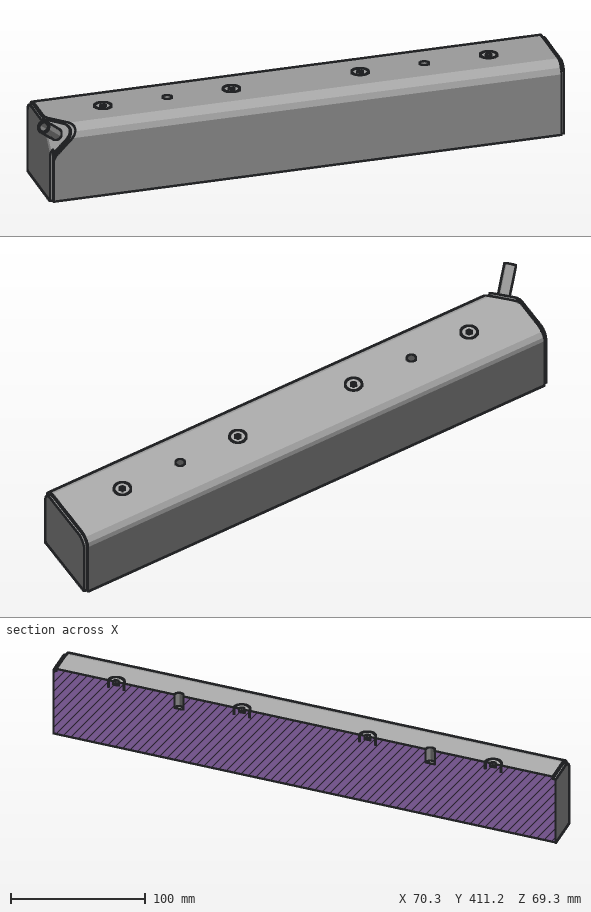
import cadquery as cq
import math

WIDTH = 60.0
HEIGHT = 59.0
LENGTH = 400.0
EDGE_RADIUS = 10.0
END_STEP = 2.5
END_INSET = 2.0

BEVEL_LEG = 21.5
BEVEL_RADIUS = 5.0
PLATE_THICKNESS = 2.5

TUBE_DIAMETER = 9.0
TUBE_BORE = 7.0
TUBE_REACH = 10.3
TUBE_Y_REACH = 11.19
TUBE_LENGTH = 30.0

SCREW_PITCH = 100.0
SCREW_COUNT = 4
SEAT_DIAMETER = 13.0
HEAD_DIAMETER = 12.0
HEAD_HEIGHT = 6.0
SOCKET_ACROSS_FLATS = 4.0
SOCKET_DEPTH = 3.0
PLAIN_HOLE_SPACING = 2 * SCREW_PITCH
PLAIN_HOLE_COUNT = 2
PLAIN_HOLE_DIAMETER = 7.0
PLAIN_HOLE_DEPTH = 12.0

CORNER = cq.Vector(WIDTH / 2, -LENGTH / 2, HEIGHT)
OUTWARD = cq.Vector(1, -1, 1).normalized()
ACROSS = cq.Vector(1, 1, 0)


def rounded_bar(inset, length):
    """Bar centred on Y whose sides and top lie `inset` inside the housing outline."""
    bar = cq.Workplane("XY").box(WIDTH - 2 * inset, length, HEIGHT - inset, centered=(True, True, False))
    return bar.edges("|Y and >Z").fillet(EDGE_RADIUS - inset)


def cut_corner(bar, depth):
    """Remove everything outside the bevel plane moved `depth` into the bar."""
    origin = CORNER - cq.Vector(BEVEL_LEG, 0, 0) - OUTWARD * depth
    plane = cq.Plane(origin=origin, xDir=ACROSS, normal=OUTWARD)
    waste_side = 4 * WIDTH
    waste = cq.Workplane(plane).rect(waste_side, waste_side).extrude(waste_side)
    return bar.cut(waste)


def bevel_face(bar):
    return bar.faces(cq.selectors.ParallelDirSelector(OUTWARD))


def round_front_of_bevel(bar):
    return bevel_face(bar).edges("<Y").fillet(BEVEL_RADIUS)


def bevel_slab():
    """Slab under the bevel with side walls square to it, running out past the front end."""
    long_bar = cut_corner(rounded_bar(0, LENGTH + 2 * BEVEL_LEG), 0)
    return cq.Workplane(cq.Solid.extrudeLinear(bevel_face(long_bar).val(), OUTWARD * -PLATE_THICKNESS))


def housing():
    """Shell and core stepped back under the bevel, with the bevel plate filling the step."""
    shell = rounded_bar(0, LENGTH - 2 * END_STEP)
    core = round_front_of_bevel(cut_corner(rounded_bar(END_INSET, LENGTH), 0))
    plate = bevel_slab().intersect(core.union(cut_corner(shell, 0)))
    stepped_shell = round_front_of_bevel(cut_corner(shell, PLATE_THICKNESS))
    stepped_core = cut_corner(core, PLATE_THICKNESS)
    return stepped_shell.union(stepped_core).union(plate)


def tube_cylinder(diameter):
    """Cylinder along the tube axis, from the free end down to the root of the tube."""
    end_spread = TUBE_DIAMETER / 2 * math.sqrt(1 - OUTWARD.x ** 2)
    offset = TUBE_REACH - end_spread
    y_offset = TUBE_Y_REACH - end_spread
    plane = cq.Plane(origin=CORNER + cq.Vector(offset, -y_offset, offset), xDir=ACROSS, normal=OUTWARD)
    return cq.Workplane(plane).circle(diameter / 2).extrude(-TUBE_LENGTH)


def top_points(spacing, count):
    return cq.Workplane("XY").workplane(offset=HEIGHT).rarray(1, spacing, 1, count)


def screw_recesses():
    """Ring gap around each screw head and the hexagonal socket in the head."""
    centres = top_points(SCREW_PITCH, SCREW_COUNT)
    gaps = centres.circle(SEAT_DIAMETER / 2).circle(HEAD_DIAMETER / 2).extrude(-HEAD_HEIGHT)
    sockets = centres.polygon(6, SOCKET_ACROSS_FLATS, circumscribed=True).extrude(-SOCKET_DEPTH)
    return gaps.union(sockets)


def plain_holes():
    centres = top_points(PLAIN_HOLE_SPACING, PLAIN_HOLE_COUNT)
    return centres.circle(PLAIN_HOLE_DIAMETER / 2).extrude(-PLAIN_HOLE_DEPTH)


result = housing().union(tube_cylinder(TUBE_DIAMETER)).cut(tube_cylinder(TUBE_BORE))
result = result.cut(screw_recesses()).cut(plain_holes())